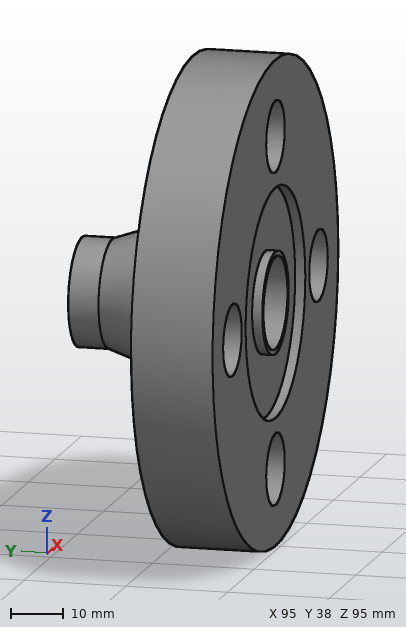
import cadquery as cq

flange_diameter = 95.0
flange_thickness = 16.1
overall_length = 38.0

neck_diameter = 21.3
neck_straight_length = 6.0
cone_base_diameter = 32.0
cone_fillet_radius = 4.0

bore_diameter = 18.05
collar_diameter = 19.95
recess_diameter = 45.0
recess_depth = 2.0

bolt_count = 4
bolt_circle_diameter = 65.0
bolt_hole_diameter = 14.0

face_y = -overall_length / 2
flange_back_y = face_y + flange_thickness
neck_end_y = face_y + overall_length
cone_end_y = neck_end_y - neck_straight_length


def cylinder(diameter, start_y, end_y):
    """Solid cylinder on the Y axis between two Y positions."""
    plane = cq.Workplane("XZ", origin=(0, start_y, 0))
    return plane.circle(diameter / 2).extrude(start_y - end_y)


def make_body():
    """Flange disc and tapered neck, turned about Y, with a fillet at the cone base."""
    body = (
        cq.Workplane("XY")
        .moveTo(0, face_y)
        .lineTo(flange_diameter / 2, face_y)
        .lineTo(flange_diameter / 2, flange_back_y)
        .lineTo(cone_base_diameter / 2, flange_back_y)
        .lineTo(neck_diameter / 2, cone_end_y)
        .lineTo(neck_diameter / 2, neck_end_y)
        .lineTo(0, neck_end_y)
        .close()
        .revolve(360, (0, 0, 0), (0, 1, 0))
    )
    cone_base_edge = cq.selectors.RadiusNthSelector(1)
    return body.edges("%CIRCLE").edges(cone_base_edge).fillet(cone_fillet_radius)


def make_face_recess():
    """Annular recess that leaves a thin collar around the bore, flush with the face."""
    floor_y = face_y + recess_depth
    recess = cylinder(recess_diameter, face_y, floor_y)
    return recess.cut(cylinder(collar_diameter, face_y, floor_y))


def make_bolt_holes():
    """Through holes evenly spaced on the bolt circle, starting on the X axis."""
    return (
        cq.Workplane("XZ", origin=(0, face_y, 0))
        .polarArray(bolt_circle_diameter / 2, 0, 360, bolt_count)
        .circle(bolt_hole_diameter / 2)
        .extrude(-flange_thickness)
    )


result = (
    make_body()
    .cut(make_face_recess())
    .cut(cylinder(bore_diameter, face_y, neck_end_y))
    .cut(make_bolt_holes())
)